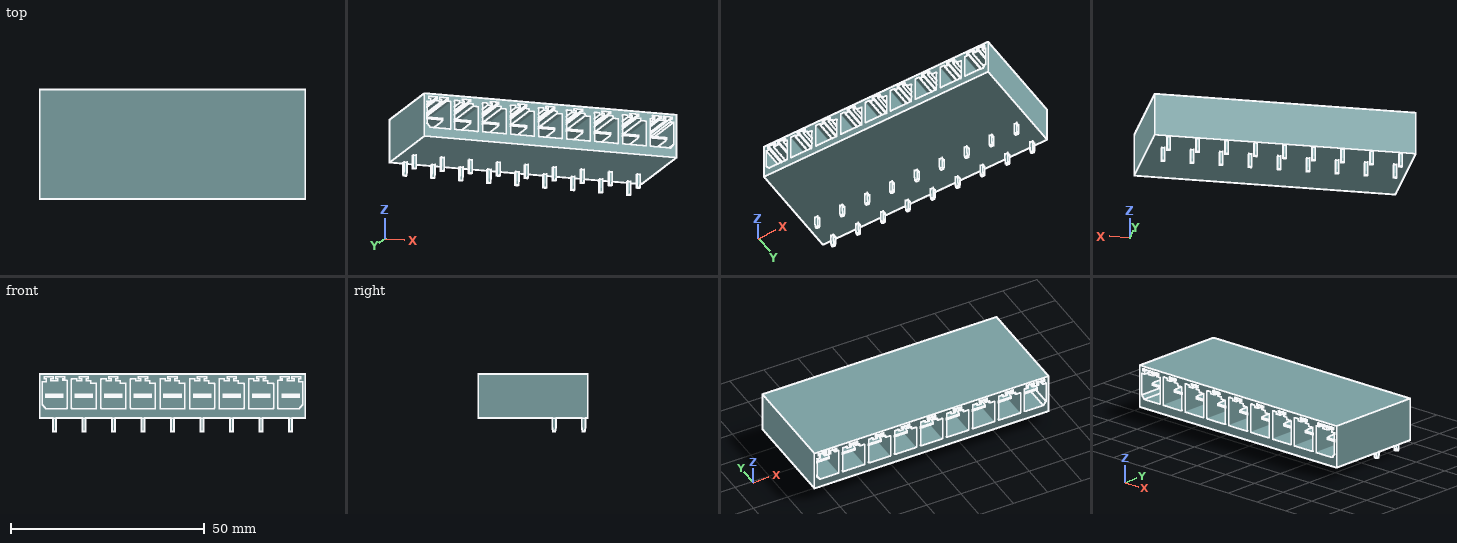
import cadquery as cq

HOUSING_LENGTH = 68.6
HOUSING_DEPTH = 28.3
OVERALL_HEIGHT = 14.9
LEG_REACH = 3.4
HOUSING_HEIGHT = OVERALL_HEIGHT - LEG_REACH

POSITIONS = 9
PITCH = 7.6

CAVITY_DEPTH = 17.15
FLOOR_Z = 2.5
KEYWAY_TOP_Z = HOUSING_HEIGHT - 0.75
KEYWAY_LEDGE_Z = HOUSING_HEIGHT - 1.25
ROOF_Z = HOUSING_HEIGHT - 1.8
LOW_ROOF_Z = HOUSING_HEIGHT - 2.4
END_OUTER_ROOF_Z = HOUSING_HEIGHT - 2.05
END_INNER_ROOF_Z = HOUSING_HEIGHT - 1.65
CORNER_RADIUS = 0.2

CAVITY_HALF_WIDTH = 3.2
HIGH_ROOF_EDGE = -1.85
LOW_ROOF_EDGE = 1.8
END_OUTER_HALF_WIDTH = 3.1
END_INNER_HALF_WIDTH = 3.3
END_CHAMFER_WIDTH = 0.8
END_CHAMFER_HEIGHT = 1.0

KEYWAY_NECK_HALF = 0.6
KEYWAY_HEAD_HALF = 1.2
END_KEYWAY_OFFSET = 1.5

BLADE_WIDTH = 4.4
BLADE_THICKNESS = 0.8
BLADE_Z = HOUSING_HEIGHT - 5.7
BLADE_TIP_Y = 3.1
TIP_BEVEL_DROP = 0.2
TIP_BEVEL_LENGTH = 0.95
LEG_THICKNESS = 0.8
LEG_WIDTH = 1.0
LEG_TAPER_LENGTH = 1.0
LEG_TAPER_INSET = 0.2
REAR_LEG_Y = HOUSING_DEPTH - 1.1
LEG_YS = (REAR_LEG_Y - PITCH, REAR_LEG_Y)


def keyway_outline(center_x, left_roof_z, right_roof_z):
    """Points of a T-shaped keyway, left to right, between two roof heights."""
    neck_left = center_x - KEYWAY_NECK_HALF
    neck_right = center_x + KEYWAY_NECK_HALF
    head_left = center_x - KEYWAY_HEAD_HALF
    head_right = center_x + KEYWAY_HEAD_HALF
    return [
        (neck_left, left_roof_z),
        (neck_left, KEYWAY_LEDGE_Z),
        (head_left, KEYWAY_LEDGE_Z),
        (head_left, KEYWAY_TOP_Z),
        (head_right, KEYWAY_TOP_Z),
        (head_right, KEYWAY_LEDGE_Z),
        (neck_right, KEYWAY_LEDGE_Z),
        (neck_right, right_roof_z),
    ]


def cavity_solid(outline, rounded_corners):
    """Extrude a cavity outline inward from the front face and round some of its corners."""
    cavity = cq.Workplane("XZ").polyline(outline).close().extrude(-CAVITY_DEPTH)
    for x, z in rounded_corners:
        corner = cq.selectors.NearestToPointSelector((x, CAVITY_DEPTH / 2, z))
        cavity = cavity.edges("|Y").edges(corner).fillet(CORNER_RADIUS)
    return cavity


def make_middle_cavity():
    """Cavity with a raised roof on the left, a lowered one on the right and one keyway."""
    bottom_left = (-CAVITY_HALF_WIDTH, FLOOR_Z)
    bottom_right = (CAVITY_HALF_WIDTH, FLOOR_Z)
    top_left = (-CAVITY_HALF_WIDTH, KEYWAY_LEDGE_Z)
    top_right = (CAVITY_HALF_WIDTH, LOW_ROOF_Z)
    high_roof_corner = (HIGH_ROOF_EDGE, KEYWAY_LEDGE_Z)
    roof_corner = (LOW_ROOF_EDGE, ROOF_Z)
    outline = [
        bottom_left,
        top_left,
        high_roof_corner,
        (HIGH_ROOF_EDGE, ROOF_Z),
        *keyway_outline(0, ROOF_Z, ROOF_Z),
        roof_corner,
        (LOW_ROOF_EDGE, LOW_ROOF_Z),
        top_right,
        bottom_right,
    ]
    rounded = [bottom_left, bottom_right, top_left, top_right, high_roof_corner, roof_corner]
    return cavity_solid(outline, rounded)


def make_left_end_cavity():
    """Cavity with two keyways and a chamfered lower corner on its outer (left) side."""
    bottom_right = (END_INNER_HALF_WIDTH, FLOOR_Z)
    top_right = (END_INNER_HALF_WIDTH, END_INNER_ROOF_Z)
    outline = [
        (END_CHAMFER_WIDTH - END_OUTER_HALF_WIDTH, FLOOR_Z),
        (-END_OUTER_HALF_WIDTH, FLOOR_Z + END_CHAMFER_HEIGHT),
        (-END_OUTER_HALF_WIDTH, END_OUTER_ROOF_Z),
        *keyway_outline(-END_KEYWAY_OFFSET, END_OUTER_ROOF_Z, ROOF_Z),
        *keyway_outline(END_KEYWAY_OFFSET, ROOF_Z, END_INNER_ROOF_Z),
        top_right,
        bottom_right,
    ]
    return cavity_solid(outline, [bottom_right, top_right])


def make_contact(center_x):
    """Horizontal blade with a bevelled tip, carried by two tapered legs."""
    half_thickness = BLADE_THICKNESS / 2
    blade_end_y = REAR_LEG_Y + LEG_WIDTH / 2
    blade_profile = [
        (BLADE_TIP_Y, BLADE_Z - half_thickness + TIP_BEVEL_DROP),
        (BLADE_TIP_Y + TIP_BEVEL_LENGTH, BLADE_Z - half_thickness),
        (blade_end_y, BLADE_Z - half_thickness),
        (blade_end_y, BLADE_Z + half_thickness),
        (BLADE_TIP_Y + TIP_BEVEL_LENGTH, BLADE_Z + half_thickness),
        (BLADE_TIP_Y, BLADE_Z + half_thickness - TIP_BEVEL_DROP),
    ]
    contact = cq.Workplane("YZ").polyline(blade_profile).close().extrude(BLADE_WIDTH / 2, both=True)

    half_width = LEG_WIDTH / 2
    tip_half_width = half_width - LEG_TAPER_INSET
    taper_z = LEG_TAPER_LENGTH - LEG_REACH
    for leg_y in LEG_YS:
        leg_profile = [
            (leg_y - half_width, BLADE_Z),
            (leg_y - half_width, taper_z),
            (leg_y - tip_half_width, -LEG_REACH),
            (leg_y + tip_half_width, -LEG_REACH),
            (leg_y + half_width, taper_z),
            (leg_y + half_width, BLADE_Z),
        ]
        leg = cq.Workplane("YZ").polyline(leg_profile).close().extrude(LEG_THICKNESS / 2, both=True)
        contact = contact.union(leg)
    return contact.translate((center_x, 0, 0))


def make_housing(position_xs, contacts):
    """Block with a cavity at each position and a matching passage for each contact."""
    housing = cq.Workplane("XY").box(
        HOUSING_LENGTH, HOUSING_DEPTH, HOUSING_HEIGHT, centered=(True, False, False)
    )
    middle_cavity = make_middle_cavity()
    for x in position_xs[1:-1]:
        housing = housing.cut(middle_cavity.translate((x, 0, 0)))

    left_end_cavity = make_left_end_cavity().translate((position_xs[0], 0, 0))
    housing = housing.cut(left_end_cavity)
    housing = housing.cut(left_end_cavity.mirror("YZ"))

    for contact in contacts:
        housing = housing.cut(contact)
    return housing


position_xs = [(i - (POSITIONS - 1) / 2) * PITCH for i in range(POSITIONS)]
contacts = [make_contact(x) for x in position_xs]
housing = make_housing(position_xs, contacts)

result = cq.Compound.makeCompound([housing.val(), *[contact.val() for contact in contacts]])